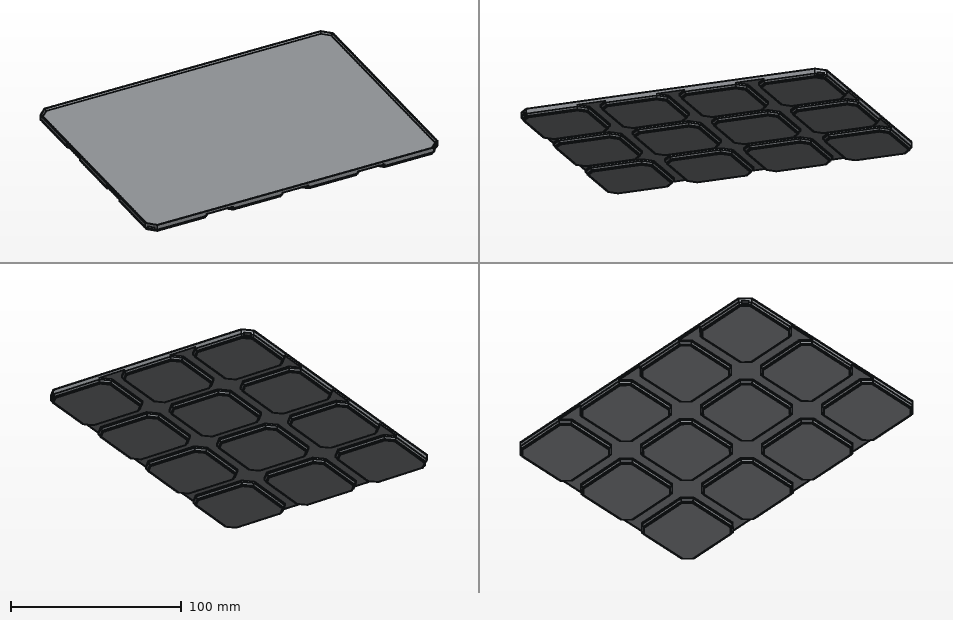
import cadquery as cq
import math

pitch = 50.0
columns = 3
rows = 4
gap = 7.0
foot_width = pitch - gap
tray_length_x = columns * pitch - gap
tray_length_y = rows * pitch - gap
corner_cut = 5.3

total_height = 5.1
plate_thickness = 2.0
web_bottom = total_height - plate_thickness
taper_top = 2.0

slope_angle = 45
foot_taper = 1.1
bottom_chamfer = 0.4

rim_width = 0.4
recess_depth = 1.0

slot_angle = 45
slot_width = 4.2
slot_depth = 3.5
slot_height = 1.6
slot_floor = web_bottom - slot_height


def cut_rectangle(size_x, size_y, corner, z):
    """Horizontal rectangle outline at height z with its four corners cut at 45 degrees."""
    x = size_x / 2
    y = size_y / 2
    points = [
        (-x + corner, -y),
        (x - corner, -y),
        (x, -y + corner),
        (x, y - corner),
        (x - corner, y),
        (-x + corner, y),
        (-x, y - corner),
        (-x, -y + corner),
    ]
    return cq.Workplane("XY", origin=(0, 0, z)).polyline(points).close()


def inset_corner(inset):
    """Corner cut of an outline lying the same distance inside on all eight sides."""
    return corner_cut - inset * (2 - math.sqrt(2))


def make_plate():
    """Plate joining all the feet, with a slope-sided recess inside a narrow rim."""
    outline = cut_rectangle(tray_length_x, tray_length_y, corner_cut, web_bottom)
    plate = outline.extrude(plate_thickness)
    recess = cut_rectangle(
        tray_length_x - 2 * rim_width,
        tray_length_y - 2 * rim_width,
        inset_corner(rim_width),
        total_height,
    ).extrude(-recess_depth, taper=slope_angle)
    return plate.cut(recess)


def foot_layer(inset, z, height, taper=0):
    """Layer of a foot starting at z, its outline set in from the full width; negative height goes down."""
    width = foot_width - 2 * inset
    return cut_rectangle(width, width, inset_corner(inset), z).extrude(height, taper=taper)


def make_foot():
    """Foot with a chamfered underside, a straight middle and a taper out to its full width."""
    chamfered_bottom = foot_layer(foot_taper, bottom_chamfer, -bottom_chamfer, slope_angle)
    middle = foot_layer(foot_taper, bottom_chamfer, taper_top - bottom_chamfer)
    taper = foot_layer(0, taper_top, -foot_taper, slope_angle)
    neck = foot_layer(0, taper_top, web_bottom - taper_top)
    return middle.union(chamfered_bottom).union(taper).union(neck)


def make_slot(side_x, side_y):
    """Diagonal slot at one outer corner, reaching equally far inside and outside its face."""
    return (
        cq.Workplane("XY")
        .box(2 * slot_depth, slot_width, slot_height, centered=(True, True, False))
        .rotate((0, 0, 0), (0, 0, 1), slot_angle * side_x * side_y)
        .translate((
            side_x * (tray_length_x - corner_cut) / 2,
            side_y * (tray_length_y - corner_cut) / 2,
            slot_floor,
        ))
    )


tray = make_plate()

foot = make_foot()
for column in range(columns):
    for row in range(rows):
        foot_x = (column - (columns - 1) / 2) * pitch
        foot_y = (row - (rows - 1) / 2) * pitch
        tray = tray.union(foot.translate((foot_x, foot_y, 0)))

for side_x in (-1, 1):
    for side_y in (-1, 1):
        tray = tray.cut(make_slot(side_x, side_y))

result = tray